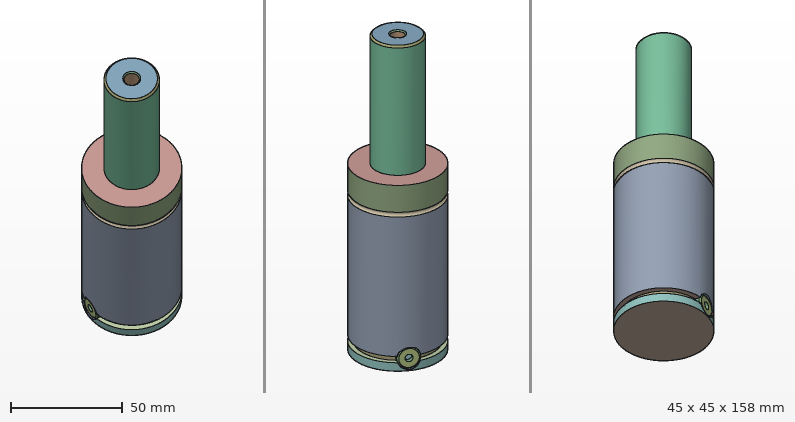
import cadquery as cq
import math

total_height = 158.0
body_diameter = 45.0
body_height = 93.2
body_radius = body_diameter / 2

rod_diameter = 25.0
rod_chamfer = 1.0
rod_hole_diameter = 6.8
rod_hole_mouth_diameter = 8.0
rod_hole_depth = 12.6
drill_point_angle = 118.0

base_flange_height = 4.3
base_groove_width = 3.2
base_groove_diameter = 40.0

upper_groove_width = 2.4
upper_groove_depth = 0.8
upper_groove_height = body_height - 14.7

plug_diameter = 11.0
plug_face_diameter = 9.5
plug_height = 6.2
plug_recess = 0.5
plug_root_depth = 7.9
plug_hole_diameter = 3.6
plug_hole_depth = 2.4


def make_body():
    """Revolve the cylinder body with its two ring grooves."""
    groove_radius = base_groove_diameter / 2
    groove_top = base_flange_height + base_groove_width
    arc_bottom = upper_groove_height - upper_groove_width / 2
    arc_top = upper_groove_height + upper_groove_width / 2
    profile = (
        cq.Workplane("XZ")
        .lineTo(body_radius, 0)
        .lineTo(body_radius, base_flange_height)
        .lineTo(groove_radius, base_flange_height)
        .lineTo(groove_radius, groove_top)
        .lineTo(body_radius, groove_top)
        .lineTo(body_radius, arc_bottom)
        .threePointArc((body_radius - upper_groove_depth, upper_groove_height), (body_radius, arc_top))
        .lineTo(body_radius, body_height)
        .lineTo(0, body_height)
        .close()
    )
    return profile.revolve(360, (0, 0, 0), (0, 1, 0))


def make_rod():
    """Piston rod with a chamfered free end."""
    rod = cq.Workplane("XY").workplane(offset=body_height).circle(rod_diameter / 2)
    return rod.extrude(total_height - body_height).faces(">Z").chamfer(rod_chamfer)


def cut_rod_hole(part):
    """Countersunk blind hole with a conical drill point."""
    return part.faces(">Z").workplane(origin=(0, 0, total_height)).cskHole(
        rod_hole_diameter, rod_hole_mouth_diameter, 90, rod_hole_depth
    )


def make_drill_point():
    """Cone that ends the rod hole, pointing down."""
    radius = rod_hole_diameter / 2
    depth = radius / math.tan(math.radians(drill_point_angle / 2))
    cone = cq.Solid.makeCone(
        radius, 0, depth, cq.Vector(0, 0, total_height - rod_hole_depth), cq.Vector(0, 0, -1)
    )
    return cq.Workplane(cone)


def side_cylinder(diameter, face_radius, length):
    """Cylinder on the plug axis, running inward from a given distance from the body axis."""
    plane = cq.Workplane("XZ", origin=(0, -face_radius, plug_height))
    return plane.circle(diameter / 2).extrude(-length)


def add_plug(part):
    """Seat a chamfered plug with a central hole in a round pocket."""
    face_radius = body_radius - plug_recess
    pocket = side_cylinder(plug_diameter, body_radius, plug_root_depth)
    plug = side_cylinder(plug_diameter, face_radius, plug_root_depth)
    plug = plug.faces("<Y").chamfer((plug_diameter - plug_face_diameter) / 2)
    hole = side_cylinder(plug_hole_diameter, face_radius, plug_hole_depth)
    return part.cut(pocket).union(plug).cut(hole)


result = make_body().union(make_rod())
result = cut_rod_hole(result).cut(make_drill_point())
result = add_plug(result)